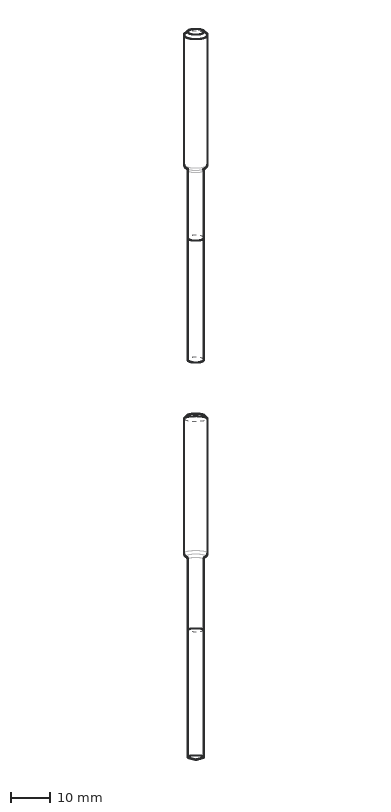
import cadquery as cq
import math

total_length = 90.0
shank_diameter = 6.0
drill_diameter = 4.1
joint_height = 33.9
shoulder_top = 54.0
shoulder_blend_radius = 0.9
top_chamfer = 0.9
point_angle = 140.0

shank_radius = shank_diameter / 2
drill_radius = drill_diameter / 2
point_height = drill_radius / math.tan(math.radians(point_angle / 2))

shoulder_step = shank_radius - drill_radius
blend_angle = math.acos(1 - shoulder_step / (2 * shoulder_blend_radius))
shoulder_height = 2 * shoulder_blend_radius * math.sin(blend_angle)
shoulder_bottom = shoulder_top - shoulder_height


def make_shank():
    """Chamfered shank with a blended shoulder down to the neck."""
    middle_radius = (shank_radius + drill_radius) / 2
    middle_height = (shoulder_top + shoulder_bottom) / 2
    profile = (
        cq.Workplane("XZ")
        .moveTo(0, joint_height)
        .lineTo(drill_radius, joint_height)
        .lineTo(drill_radius, shoulder_bottom)
        .tangentArcPoint((middle_radius, middle_height), relative=False)
        .tangentArcPoint((shank_radius, shoulder_top), relative=False)
        .lineTo(shank_radius, total_length - top_chamfer)
        .lineTo(shank_radius - top_chamfer, total_length)
        .lineTo(0, total_length)
        .close()
    )
    return profile.revolve(360, (0, 0, 0), (0, 1, 0))


def make_drill():
    """Plain round drill with a conical point, butted against the neck."""
    profile = (
        cq.Workplane("XZ")
        .lineTo(drill_radius, point_height)
        .lineTo(drill_radius, joint_height)
        .lineTo(0, joint_height)
        .close()
    )
    return profile.revolve(360, (0, 0, 0), (0, 1, 0))


shank = make_shank()
drill = make_drill()

result = cq.Compound.makeCompound([shank.val(), drill.val()])